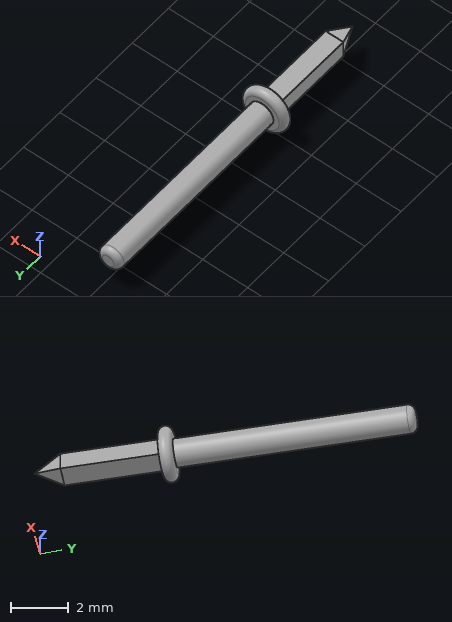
import cadquery as cq

total_length = 13.5
tip_length = 1.0
square_length = 3.5
square_side = 0.8
collar_diameter = 2.0
collar_thickness = 0.5
pin_diameter = 1.03
pin_end_radius = 0.25

tip_y = -total_length / 2
square_start_y = tip_y + tip_length
collar_start_y = square_start_y + square_length
collar_end_y = collar_start_y + collar_thickness
pin_end_y = total_length / 2


def section_at(y):
    """Workplane across the pin axis, facing +Y."""
    return cq.Workplane(cq.Plane(origin=(0, y, 0), xDir=(1, 0, 0), normal=(0, 1, 0)))


def make_round_pin():
    """Round pin with a rounded free end."""
    pin = section_at(collar_end_y).circle(pin_diameter / 2).extrude(pin_end_y - collar_end_y)
    return pin.faces(">Y").edges().fillet(pin_end_radius)


def make_collar():
    """Flat-faced disc with a fully rounded rim, revolved about Y."""
    flat_radius = (collar_diameter - collar_thickness) / 2
    rim_mid_y = (collar_start_y + collar_end_y) / 2
    return (
        cq.Workplane("XY")
        .moveTo(0, collar_start_y)
        .lineTo(flat_radius, collar_start_y)
        .threePointArc((collar_diameter / 2, rim_mid_y), (flat_radius, collar_end_y))
        .lineTo(0, collar_end_y)
        .close()
        .revolve(360, (0, 0, 0), (0, 1, 0))
    )


def make_square_shank():
    """Square shank between the collar and the base of the point."""
    return section_at(square_start_y).rect(square_side, square_side).extrude(square_length)


def make_point():
    """Four-sided pyramid closed by its square base."""
    half_side = square_side / 2
    base_corners = [
        cq.Vector(x, square_start_y, z)
        for x, z in [
            (-half_side, -half_side),
            (half_side, -half_side),
            (half_side, half_side),
            (-half_side, half_side),
        ]
    ]
    apex = cq.Vector(0, tip_y, 0)
    faces = [cq.Face.makeFromWires(cq.Wire.makePolygon(base_corners, close=True))]
    for index, corner in enumerate(base_corners):
        triangle = [base_corners[index - 1], corner, apex]
        faces.append(cq.Face.makeFromWires(cq.Wire.makePolygon(triangle, close=True)))
    return cq.Workplane(cq.Solid.makeSolid(cq.Shell.makeShell(faces)))


result = make_round_pin().union(make_collar()).union(make_square_shank()).union(make_point())